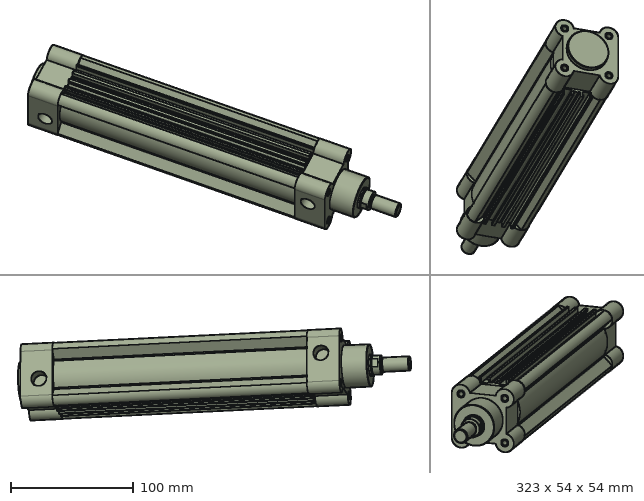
import cadquery as cq


width = 54.0
screw_offset = 19.0
lobe_radius = width / 2 - screw_offset

covers_length = 265.0
rear_cover_length = 26.5
front_cover_length = 27.0
front_cover_start = covers_length - front_cover_length
tube_length = front_cover_start - rear_cover_length
overcut = 1.0

flat_offset = 20.6
spigot_diameter = 35.0
rear_spigot_length = 4.0
front_spigot_length = 21.0
spigot_chamfer = 0.4
port_diameter = 12.5
port_depth = 12.0
port_from_end = 15.3
port_shift = 5.0
screw_hole_diameter = 4.3
screw_recess_diameter = 6.2
screw_recess_depth = 0.5
screw_hole_depth = 16.0

wiper_diameter = 18.0
wiper_length = 2.5
wiper_chamfer = 0.9

tube_width = 53.6
barrel_radius = 22.75
side_floor_offset = 19.7
side_floor_half_width = 12.7
slot_root_offset = 20.4
slot_root_half_width = 13.6
slot_floor_offset = 21.9
rail_root_offset = slot_root_offset - overcut
lip_inner = 10.8
lip_outer = 12.4
lip_hook_reach = 1.2
lip_hook_drop = 1.0
lip_hook_height = 1.7
hook_inner = 3.0
hook_neck_outer = 4.6
hook_head_outer = 5.6
hook_head_height = 1.8
ridge_width = 3.0
ridge_offset = 23.1

rod_diameter = 16.0
shoulder_reach = 30.0
wrench_size = 14.5
wrench_end_gap = 1.5
thread_diameter = 12.0
thread_length = 24.0
thread_chamfer = 0.8
relief_diameter = 10.6
relief_length = 1.2


def cylinder_x(x_start, length, diameter):
    """Cylinder on the main axis."""
    return cq.Workplane("YZ", origin=(x_start, 0, 0)).circle(diameter / 2).extrude(length)


def bar_x(x_start, length, y_range, z_range):
    """Straight rectangular bar along X between the given Y and Z limits."""
    y_min, y_max = y_range
    z_min, z_max = z_range
    return cq.Workplane("XY").box(length, y_max - y_min, z_max - z_min, centered=False).translate(
        (x_start, y_min, z_min)
    )


def cover_block(x_start, length):
    """Cover with a plain port side at -Y and flats recessed between round lobes on the other sides."""
    block = bar_x(x_start, length, (-screw_offset, flat_offset), (-flat_offset, flat_offset))
    port_side = bar_x(x_start, length, (-width / 2, -screw_offset), (-screw_offset, screw_offset))
    block = block.union(port_side)
    for y in (-screw_offset, screw_offset):
        for z in (-screw_offset, screw_offset):
            block = block.union(cylinder_x(x_start, length, 2 * lobe_radius).translate((0, y, z)))
    return block


def cut_port(cover, x, z):
    """Blind air port drilled in from the -Y side."""
    drill = cq.Workplane("XZ", origin=(x, -width / 2, z)).circle(port_diameter / 2).extrude(-port_depth)
    return cover.cut(drill)


def cut_screw_holes(cover, end_face):
    """Shallowly counterbored screw holes in the four lobes."""
    return (
        cover.faces(end_face)
        .workplane(origin=(0, 0, 0))
        .rect(2 * screw_offset, 2 * screw_offset, forConstruction=True)
        .vertices()
        .cboreHole(screw_hole_diameter, screw_recess_diameter, screw_recess_depth, screw_hole_depth)
    )


def make_rear_cover():
    cover = cut_screw_holes(cover_block(0, rear_cover_length), "<X")
    cover = cut_port(cover, port_from_end, -port_shift)
    spigot = cylinder_x(-rear_spigot_length, rear_spigot_length, spigot_diameter)
    return cover.union(spigot.faces("<X").chamfer(spigot_chamfer))


def make_front_cover():
    cover = cut_screw_holes(cover_block(front_cover_start, front_cover_length), ">X")
    cover = cut_port(cover, covers_length - port_from_end, port_shift)
    spigot = cylinder_x(covers_length, front_spigot_length, spigot_diameter)
    cover = cover.union(spigot.faces(">X").chamfer(spigot_chamfer))
    wiper = cylinder_x(covers_length + front_spigot_length, wiper_length, wiper_diameter)
    cover = cover.union(wiper.faces(">X").chamfer(wiper_chamfer))
    bore_length = front_cover_length + front_spigot_length + wiper_length
    return cover.cut(cylinder_x(front_cover_start, bore_length, rod_diameter))


def channel(floor_offset, floor_half_width):
    """Open channel with 45 degree walls, cut from the +Z side."""
    top_offset = width / 2 + overcut
    top_half_width = floor_half_width + top_offset - floor_offset
    return (
        cq.Workplane("YZ", origin=(rear_cover_length, 0, 0))
        .polyline(
            [
                (-floor_half_width, floor_offset),
                (floor_half_width, floor_offset),
                (top_half_width, top_offset),
                (-top_half_width, top_offset),
            ]
        )
        .close()
        .extrude(tube_length)
    )


def hooked_lip(top):
    """Channel lip whose sloping hook leans out toward the lobe."""
    hook_outer = lip_outer + lip_hook_reach
    hook_bottom = top - lip_hook_height
    return (
        cq.Workplane("YZ", origin=(rear_cover_length, 0, 0))
        .polyline(
            [
                (lip_inner, rail_root_offset),
                (lip_inner, top),
                (lip_outer, top),
                (hook_outer, top - lip_hook_drop),
                (hook_outer, hook_bottom),
                (lip_outer, hook_bottom),
                (lip_outer, rail_root_offset),
            ]
        )
        .close()
        .extrude(tube_length)
    )


def slot_rails():
    """Raised floor of the +Z channel with its lips, hooked fins and middle ridge."""
    top = tube_width / 2
    ridge_range = (-ridge_width / 2, ridge_width / 2)
    floor_range = (-lip_outer, lip_outer)
    rails = bar_x(rear_cover_length, tube_length, floor_range, (rail_root_offset, slot_floor_offset))
    rails = rails.union(bar_x(rear_cover_length, tube_length, ridge_range, (rail_root_offset, ridge_offset)))
    neck = bar_x(rear_cover_length, tube_length, (hook_inner, hook_neck_outer), (rail_root_offset, top))
    head = bar_x(rear_cover_length, tube_length, (hook_inner, hook_head_outer), (top - hook_head_height, top))
    for rail in (hooked_lip(top), neck, head):
        rails = rails.union(rail).union(rail.mirror("XZ"))
    return rails


def make_tube():
    half_width = tube_width / 2
    side_range = (-half_width, half_width)
    tube = bar_x(rear_cover_length, tube_length, side_range, side_range)
    tube = tube.edges("|X").fillet(half_width - screw_offset)
    slot_channel = channel(slot_root_offset, slot_root_half_width)
    side_channel = channel(side_floor_offset, side_floor_half_width).rotate((0, 0, 0), (1, 0, 0), 90)
    tube = tube.cut(slot_channel).cut(slot_channel.mirror("XY"))
    tube = tube.cut(side_channel).cut(side_channel.mirror("XZ"))
    tube = tube.union(cylinder_x(rear_cover_length, tube_length, 2 * barrel_radius))
    rails = slot_rails()
    return tube.union(rails).union(rails.mirror("XY"))


def make_rod():
    shoulder = covers_length + shoulder_reach
    rod = cylinder_x(front_cover_start, shoulder - front_cover_start, rod_diameter)

    flats_start = covers_length + front_spigot_length + wiper_length
    flats_length = shoulder - wrench_end_gap - flats_start
    for side in (-1, 1):
        flat = cq.Workplane("XY").box(flats_length, rod_diameter, rod_diameter).translate(
            (flats_start + flats_length / 2, side * (wrench_size + rod_diameter) / 2, 0)
        )
        rod = rod.cut(flat)

    rod = rod.union(cylinder_x(shoulder, relief_length, relief_diameter))
    thread = cylinder_x(shoulder + relief_length, thread_length - relief_length, thread_diameter)
    return rod.union(thread.faces("<X or >X").chamfer(thread_chamfer))


rear_cover = make_rear_cover()
tube = make_tube()
front_cover = make_front_cover()
rod = make_rod()

result = cq.Compound.makeCompound([rear_cover.val(), tube.val(), front_cover.val(), rod.val()])